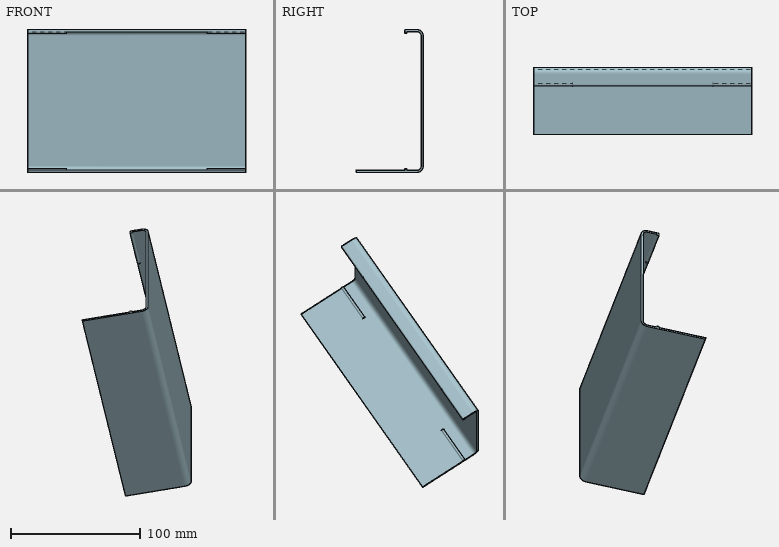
import cadquery as cq

length = 169.0
depth = 52.2
height = 111.0

thickness = 1.9
outer_bend_radius = 5.2
inner_bend_radius = 3.2
top_flange_depth = 14.5
edge_round = 1.0

bead_length = 29.9
bead_width = 1.9
bead_height = 1.2
bead_round = 0.5

bead_front = -top_flange_depth
bead_back = bead_front + bead_width


def bar(y_start, z_start, y_size, z_size, x_size=length):
    """Rectangular bar along X from x = 0, given by its lowest corner."""
    return cq.Workplane("XY").box(x_size, y_size, z_size, centered=False).translate((0, y_start, z_start))


def bent_sheet():
    """Wall with a long bottom flange and a short top flange, joined by round bends."""
    outside = bar(-depth, 0, depth, height)
    outside = outside.edges("|X and >Y").fillet(outer_bend_radius)
    inside = bar(-depth - thickness, thickness, depth, height - 2 * thickness)
    inside = inside.edges("|X and >Y").fillet(inner_bend_radius)
    beyond_top_flange = bar(-depth, thickness, depth - top_flange_depth, height)
    sheet = outside.cut(inside).cut(beyond_top_flange)

    bottom_tip = cq.selectors.NearestToPointSelector((length / 2, -depth, 0))
    top_tip = cq.selectors.NearestToPointSelector((length / 2, -top_flange_depth, height))
    for tip in (bottom_tip, top_tip):
        sheet = sheet.edges(tip).fillet(edge_round)
    return sheet


def root_blend(y_side, direction):
    """Concave blend between the bottom flange and the side of a bead at y_side."""
    y_axis = y_side + direction * bead_round
    block = bar(min(y_side, y_axis), thickness, bead_round, bead_round, bead_length)
    scoop = (
        cq.Workplane("YZ")
        .center(y_axis, thickness + bead_round)
        .circle(bead_round)
        .extrude(bead_length)
    )
    return block.cut(scoop)


def bottom_bead(with_front_blend):
    """Bead on the bottom flange, starting at x = 0, with a rounded crest."""
    bead = bar(bead_front, thickness, bead_width, bead_height, bead_length)
    bead = bead.edges("|X and >Z").fillet(bead_round)
    bead = bead.union(root_blend(bead_back, 1))
    if with_front_blend:
        bead = bead.union(root_blend(bead_front, -1))
    return bead


lower_bead = bottom_bead(with_front_blend=True)
upper_bead = bottom_bead(with_front_blend=False).mirror("XY", (0, 0, height / 2))

result = bent_sheet()
for bead_x in (0, length - bead_length):
    for bead in (lower_bead, upper_bead):
        result = result.union(bead.translate((bead_x, 0, 0)))